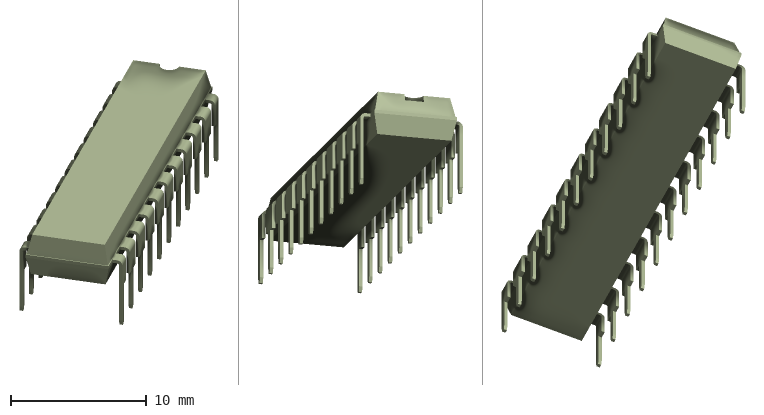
import cadquery as cq
import math

BODY_LENGTH = 27.95
BODY_WIDTH = 6.35
LEAD_SPAN = 7.88
TOTAL_HEIGHT = 6.98

BODY_BOTTOM = 3.7
BAND_TOP = 5.45
LEAD_THICKNESS = 0.25
BAND_BOTTOM = BAND_TOP - LEAD_THICKNESS
DRAFT_ANGLE = 12.0
UPPER_LEDGE = 0.07

NOTCH_RADIUS = 0.73
NOTCH_DEPTH = 0.5

LEADS_PER_SIDE = 11
LEAD_PITCH = 2.55
BEND_RADIUS = 0.4
SHOULDER_WIDTH = 1.5
SHOULDER_BOTTOM = 3.3
PIN_WIDTH = 0.47
TIP_WIDTH = 0.25
TIP_HEIGHT = 0.42


def body_block(bottom, height, inset=0.0, draft=0.0):
    """Rectangular block of the body outline, drawn in by inset and tapered along its height."""
    return (
        cq.Workplane("XY", origin=(0, 0, bottom))
        .rect(BODY_WIDTH - 2 * inset, BODY_LENGTH - 2 * inset)
        .extrude(height, taper=draft)
    )


def make_body():
    band = body_block(BAND_BOTTOM, LEAD_THICKNESS)
    upper = body_block(BAND_TOP, TOTAL_HEIGHT - BAND_TOP, UPPER_LEDGE, DRAFT_ANGLE)
    lower = body_block(BAND_BOTTOM, BODY_BOTTOM - BAND_BOTTOM, draft=DRAFT_ANGLE)
    return band.union(upper).union(lower)


def make_notch():
    """Cylinder centred on the +Y edge of the top face."""
    draft_inset = (TOTAL_HEIGHT - BAND_TOP) * math.tan(math.radians(DRAFT_ANGLE))
    top_edge_y = BODY_LENGTH / 2 - UPPER_LEDGE - draft_inset
    return (
        cq.Workplane("XY", origin=(0, top_edge_y, TOTAL_HEIGHT - NOTCH_DEPTH))
        .circle(NOTCH_RADIUS)
        .extrude(NOTCH_DEPTH)
    )


def make_bent_strip():
    """Inverted-U strip through the body, as long as the body and bent down on both sides."""
    outer = (
        cq.Workplane("XY")
        .box(LEAD_SPAN, BODY_LENGTH, BAND_TOP, centered=(True, True, False))
        .edges("|Y and >Z")
        .fillet(BEND_RADIUS)
    )
    inner = (
        cq.Workplane("XY")
        .box(LEAD_SPAN - 2 * LEAD_THICKNESS, BODY_LENGTH, BAND_BOTTOM, centered=(True, True, False))
        .edges("|Y and >Z")
        .fillet(BEND_RADIUS - LEAD_THICKNESS)
    )
    return outer.cut(inner)


def lead_blank(center_y, minus_y_reach, plus_y_reach):
    """Flat lead outline in YZ, with shoulders reaching the given distances to -Y and +Y."""
    outline = [
        (-TIP_WIDTH / 2, 0),
        (TIP_WIDTH / 2, 0),
        (PIN_WIDTH / 2, TIP_HEIGHT),
        (PIN_WIDTH / 2, SHOULDER_BOTTOM),
        (plus_y_reach, SHOULDER_BOTTOM),
        (plus_y_reach, BAND_TOP),
        (-minus_y_reach, BAND_TOP),
        (-minus_y_reach, SHOULDER_BOTTOM),
        (-PIN_WIDTH / 2, SHOULDER_BOTTOM),
        (-PIN_WIDTH / 2, TIP_HEIGHT),
    ]
    corners = list(dict.fromkeys(outline))
    return (
        cq.Workplane("YZ", origin=(0, center_y, 0))
        .polyline(corners)
        .close()
        .extrude(LEAD_SPAN / 2, both=True)
    )


body = make_body().cut(make_notch())
strip = make_bent_strip()

result = body
last = LEADS_PER_SIDE - 1
for index in range(LEADS_PER_SIDE):
    lead_y = (index - last / 2) * LEAD_PITCH
    minus_y_reach = PIN_WIDTH / 2 if index == 0 else SHOULDER_WIDTH / 2
    plus_y_reach = PIN_WIDTH / 2 if index == last else SHOULDER_WIDTH / 2
    result = result.union(strip.intersect(lead_blank(lead_y, minus_y_reach, plus_y_reach)))